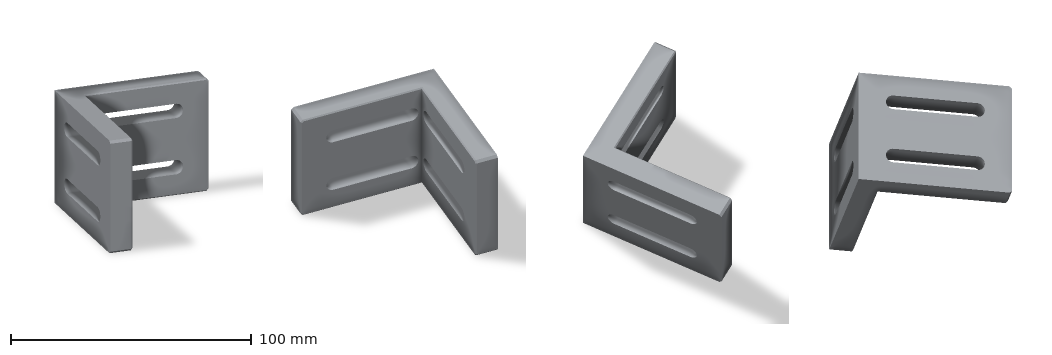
import cadquery as cq

leg_length = 65.0
height = 50.0
thickness = 10.0
corner_chamfer = 1.05
inner_edge_chamfer = 0.5

slot_length = 41.85
slot_width = 6.4
slot_center = leg_length / 2
slot_spacing = height / 2
slot_heights = [(height - slot_spacing) / 2, (height + slot_spacing) / 2]


def slots_through(plane):
    """Slot cutters for the leg lying in the given plane."""
    return (
        cq.Workplane(plane)
        .pushPoints([(slot_center, z) for z in slot_heights])
        .slot2D(slot_length, slot_width)
        .extrude(thickness, both=True)
    )


bracket = (
    cq.Workplane("XY")
    .polyline([
        (0, 0),
        (leg_length, 0),
        (leg_length, thickness),
        (thickness, thickness),
        (thickness, leg_length),
        (0, leg_length),
    ])
    .close()
    .extrude(height)
)

bracket = bracket.edges("(|Y and >X) or (|X and >Y)").chamfer(corner_chamfer)

inner_corner = (thickness, thickness, height / 2)
inner_faces = bracket.faces(cq.selectors.NearestToPointSelector((thickness, leg_length / 2, height / 2)))
inner_faces = inner_faces.add(
    bracket.faces(cq.selectors.NearestToPointSelector((leg_length / 2, thickness, height / 2)))
)
inner_rim = inner_faces.edges().edges(
    cq.selectors.InverseSelector(cq.selectors.NearestToPointSelector(inner_corner))
)
bracket = inner_rim.chamfer(inner_edge_chamfer)

result = bracket.cut(slots_through("XZ")).cut(slots_through("YZ"))